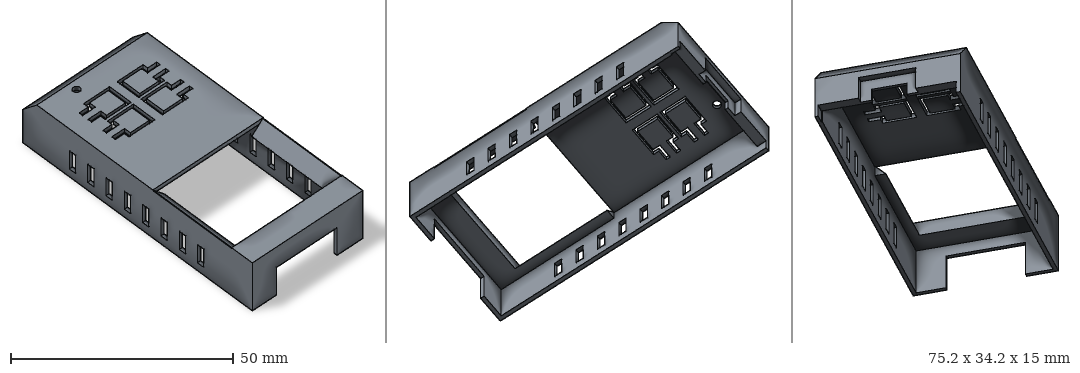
import cadquery as cq
import math

length = 75.25
width = 34.25
height = 15.0
wall = 1.0
roof = 1.25
nose_chamfer = 4.65
mid_y = width / 2

nose_outer = 1.7
nose_inner = 0.8
nose_wall = nose_outer + nose_inner
skirt_height = 3.0
skirt_gap_start = wall
skirt_gap_end = width - 0.75
nose_notch_y = (skirt_gap_start + skirt_gap_end) / 2
outer_notch_width = 13.5
outer_notch_top = 8.6
inner_notch_width = 8.3
inner_notch_top = 6.0

tail_notch_width = 18.75
tail_notch_y = mid_y - 0.25
tail_notch_top = outer_notch_top

window_start = 42.65
window_end = 68.45
rim_lip = 0.2
rim_drop = 3.4
rim_width = rim_lip + rim_drop
rim_top = height - rim_lip
rim_bottom = rim_top - rim_drop

vent_count = 8
vent_pitch = 6.0
vent_start = 15.3
vent_width = 2.0
vent_bottom = 2.5
vent_height = 5.6

button_center_x = 18.97
button_center_y = mid_y + 0.07
button_pitch = 7.8
slit_half_width = 3.5
pad_half_width = 2.8
neck_slit_outer = 2.0
neck_slit_inner = 0.9
slit_near = 1.2
pad_near = 2.2
pad_far = 8.1
slit_far = 9.2
neck_end = 12.0

led_diameter = 2.0
led_x = 7.1
led_y = 10.0


def box(x0, x1, y0, y1, z0, z1):
    """Axis-aligned box between opposite corners."""
    return cq.Workplane("XY").box(x1 - x0, y1 - y0, z1 - z0, centered=False).translate((x0, y0, z0))


def base_notch(x0, x1, center_y, notch_width, top):
    """Box rising from the base, centred on the given y."""
    half = notch_width / 2
    return box(x0, x1, center_y - half, center_y + half, 0, top)


def side_prism(x0, x1, top, chamfer, depth):
    """Side outline with the sloping nose, extruded from y = 0 towards +Y."""
    points = [
        (x0, 0),
        (x1, 0),
        (x1, top),
        (x0 + chamfer, top),
        (x0, top - chamfer),
    ]
    return cq.Workplane("XZ").polyline(points).close().extrude(-depth)


def make_shell():
    """Open-bottomed cover whose sloping nose is as thick as the roof."""
    outside = side_prism(0, length, height, nose_chamfer, width)
    cavity_chamfer = nose_chamfer + roof * math.sqrt(2) - roof - nose_wall
    cavity = side_prism(nose_wall, length - wall, height - roof, cavity_chamfer, width - 2 * wall)
    return outside.cut(cavity.translate((0, wall, 0)))


def cut_end_walls(body):
    """Notch the nose wall in two steps and the tail wall once."""
    body = body.cut(box(0, nose_wall, skirt_gap_start, skirt_gap_end, 0, skirt_height))
    body = body.cut(base_notch(0, nose_outer, nose_notch_y, outer_notch_width, outer_notch_top))
    body = body.cut(base_notch(nose_outer, nose_wall, nose_notch_y, inner_notch_width, inner_notch_top))
    return body.cut(base_notch(length - wall, length, tail_notch_y, tail_notch_width, tail_notch_top))


def cut_window(body):
    """Thicken the roof around the window, then cut the opening with its sloping sides."""
    body = body.union(box(window_start, length, 0, width, rim_bottom, height))
    points = [
        (0, height),
        (0, rim_top),
        (rim_lip, rim_top),
        (rim_width, rim_bottom),
        (width - rim_width, rim_bottom),
        (width - rim_lip, rim_top),
        (width, rim_top),
        (width, height),
    ]
    opening = cq.Workplane("YZ").polyline(points).close().extrude(window_end - window_start)
    return body.cut(opening.translate((window_start, 0, 0)))


def cut_vents(body):
    """Cut the row of slots through both side walls."""
    for index in range(vent_count):
        x0 = vent_start + index * vent_pitch
        body = body.cut(box(x0, x0 + vent_width, 0, width, vent_bottom, vent_bottom + vent_height))
    return body


def button_slit(center_x, direction):
    """Slit around one button whose neck points along +Y (1) or -Y (-1)."""
    half_outline = [
        (neck_slit_inner, neck_end),
        (neck_slit_outer, neck_end),
        (neck_slit_outer, slit_far),
        (slit_half_width, slit_far),
        (slit_half_width, slit_near),
    ]
    half_inside = [
        (pad_half_width, pad_near),
        (pad_half_width, pad_far),
        (neck_slit_inner, pad_far),
    ]
    outer_path = half_outline + [(-x, y) for x, y in reversed(half_outline)]
    inner_path = [(-x, y) for x, y in reversed(half_inside)] + half_inside
    points = [(center_x + x, button_center_y + direction * y) for x, y in outer_path + inner_path]
    return cq.Workplane("XY").workplane(offset=height - roof).polyline(points).close().extrude(roof)


def cut_buttons(body):
    """Cut the two-by-two group of buttons."""
    for side in (-1, 1):
        for direction in (-1, 1):
            body = body.cut(button_slit(button_center_x + side * button_pitch / 2, direction))
    return body


def cut_led_hole(body):
    """Drill the indicator hole through the roof."""
    hole = cq.Workplane("XY").workplane(offset=height - roof).center(led_x, led_y).circle(led_diameter / 2)
    return body.cut(hole.extrude(roof))


result = make_shell()
result = cut_end_walls(result)
result = cut_window(result)
result = cut_vents(result)
result = cut_buttons(result)
result = cut_led_hole(result)